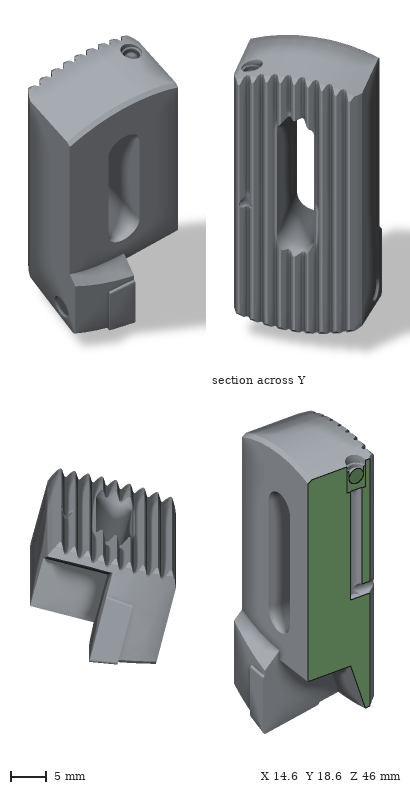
import cadquery as cq
import math


half_length = 23.0
end_radius = half_length
half_width = 9.3
depth = 11.8
shoulder_depth = 0.95
shoulder_width = 0.4
crest_bevel = 0.7
front_bevel_depth = 0.65
front_bevel_height = 0.45

past = 36.8

tooth_count = 9
tooth_pitch = 2.0
tooth_flat = 0.28
flank_angle = 30.0
tooth_rise = (tooth_pitch - 2 * tooth_flat) / 2
root_depth = tooth_rise / math.tan(math.radians(flank_angle))

nose_edge_depth = 13.15
relief_angle = 7.0
nose_depth = nose_edge_depth + half_width * math.tan(math.radians(relief_angle))
ramp_top = -10.05
bottom_angle = 10.0
bottom_slope = math.tan(math.radians(bottom_angle))
bottom_height = -20.15
nose_bevel = 0.45

insert_circle = 9.5
insert_thickness = 3.95
insert_angle = 90.0 - bottom_angle
clearance_angle = 7.0
nose_radius = 0.4
tip_depth = 14.6
insert_x = tip_depth - insert_circle / 2
nose_to_center = (insert_circle / 2 - nose_radius) / math.sin(math.radians(insert_angle / 2))
insert_z = -half_length + nose_radius + nose_to_center * math.cos(math.radians(insert_angle / 2))

screw_diameter = 3.35
screw_head_diameter = 5.5
screw_head_height = (screw_head_diameter - screw_diameter) / 2
screw_recess = 0.35
screw_end_chamfer = 0.15

slot_width = 5.35
slot_top = 16.1
slot_bottom = -6.95

channel_depth = 3.65
channel_y = 7.05
channel_diameter = 1.9
inlet_height = 0.5
channel_bottom = inlet_height - channel_diameter / 2
sleeve_diameter = 3.05
ball_diameter = 2.4
sleeve_top = 21.0
sleeve_length = 3.5
ball_height = sleeve_top - ball_diameter / 2

gullet_back = 1.85
gullet_foot = -20.25
gullet_top_back = 4.6
gullet_roof = -11.5


def holder_outline():
    """Section across Z: serrated back, plain sides, stepped and relieved front."""
    shoulder_start = half_width - shoulder_width
    points = [(root_depth + shoulder_depth, -half_width), (root_depth, -shoulder_start)]
    for index in range(tooth_count):
        middle = (index - (tooth_count - 1) / 2) * tooth_pitch
        crest = tooth_flat / 2
        root = crest + tooth_rise
        points += [
            (root_depth, middle - root),
            (0, middle - crest),
            (0, middle + crest),
            (root_depth, middle + root),
        ]
    points += [
        (root_depth, shoulder_start),
        (root_depth + shoulder_depth, half_width),
        (depth, half_width),
        (depth, 0),
        (nose_depth, 0),
        (nose_edge_depth, -half_width),
    ]
    return points


def cut_arc(body, x_span, z_span, crown, side):
    """Cut along an arc across Y whose height at Y = 0 runs through z_span over x_span.

    crown is +1 for an arc highest at Y = 0 and -1 for one lowest there;
    side is +1 to remove the material above it and -1 to remove that below it.
    """
    reach = 1.5 * half_width
    sag = end_radius - math.sqrt(end_radius**2 - reach**2)
    z_edge = z_span[0] - crown * sag
    outline = (
        cq.Workplane("YZ", origin=(x_span[0], 0, 0))
        .moveTo(-reach, z_edge)
        .threePointArc((0, z_span[0]), (reach, z_edge))
        .lineTo(reach, side * past)
        .lineTo(-reach, side * past)
        .close()
        .val()
    )
    sweep = cq.Vector(x_span[1] - x_span[0], 0, z_span[1] - z_span[0])
    return body.cut(cq.Workplane(cq.Solid.extrudeLinear(outline, [], sweep)))


def shape_ends(body):
    """Curved top, sloping curved bottom, and the bevels that follow them."""
    bevel_start = depth - front_bevel_depth
    body = cut_arc(body, (0, past), (half_length, half_length), 1, 1)
    body = cut_arc(body, (0, crest_bevel), (half_length - crest_bevel, half_length), 1, 1)
    front_drop = (half_length, half_length - front_bevel_height)
    body = cut_arc(body, (bevel_start, depth), front_drop, 1, 1)
    body = cut_arc(body, (0, past), (bottom_height, bottom_height - past * bottom_slope), -1, -1)
    return cut_arc(body, (0, crest_bevel), (bottom_height + crest_bevel, bottom_height), -1, -1)


def shape_nose(body):
    """45 degree curved ramp above the nose and a bevel along its lower front edge."""
    body = cut_arc(body, (depth, past), (ramp_top, ramp_top - (past - depth)), -1, 1)
    middle_x = (nose_depth + nose_edge_depth) / 2
    lower_edge = (middle_x, -half_width / 2, bottom_height - middle_x * bottom_slope)
    return body.edges(cq.NearestToPointSelector(lower_edge)).chamfer(nose_bevel)


def cylinder_z(diameter, z_bottom, z_top):
    """Cylinder on the axis of the coolant bore."""
    base = cq.Workplane("XY", origin=(channel_depth, channel_y, z_bottom))
    return base.circle(diameter / 2).extrude(z_top - z_bottom)


def make_slot():
    return (
        cq.Workplane("YZ", origin=(0, 0, (slot_top + slot_bottom) / 2))
        .slot2D(slot_top - slot_bottom, slot_width, 90)
        .extrude(past)
    )


def make_inlet():
    return (
        cq.Workplane("YZ", origin=(0, channel_y, inlet_height))
        .circle(channel_diameter / 2)
        .extrude(channel_depth)
    )


def make_gullet():
    """Open space in front of the cutting face, running out to +X, +Y and -Z."""
    gullet_points = [
        (gullet_back, -past),
        (gullet_back, gullet_foot),
        (gullet_top_back, gullet_roof),
        (past, gullet_roof),
        (past, -past),
    ]
    return cq.Workplane("XZ").polyline(gullet_points).close().extrude(-past)


def make_insert_blank():
    """Insert without its screw hole, tapering from the cutting face at Y = 0."""
    side = insert_circle / math.sin(math.radians(insert_angle))
    run = side * math.cos(math.radians(bottom_angle))
    rise = side * math.sin(math.radians(bottom_angle))
    tip_x = insert_x + run / 2
    tip_z = insert_z - (side + rise) / 2
    corners = [
        (tip_x, tip_z),
        (tip_x, tip_z + side),
        (tip_x - run, tip_z + side + rise),
        (tip_x - run, tip_z + rise),
    ]
    outline = cq.Workplane("XZ").polyline(corners).close()
    blank = outline.extrude(insert_thickness, taper=clearance_angle)
    return blank.edges("not #Y").fillet(nose_radius)


def make_screw():
    """Countersunk screw, head flush with the cutting face, end short of the -Y face."""
    radius = screw_diameter / 2
    head_radius = screw_head_diameter / 2
    length = half_width - screw_recess
    profile = [
        (0, 0),
        (head_radius, 0),
        (radius, -screw_head_height),
        (radius, -length + screw_end_chamfer),
        (radius - screw_end_chamfer, -length),
        (0, -length),
    ]
    screw = cq.Workplane("XY").polyline(profile).close().revolve(360, (0, 0), (0, 1))
    return screw.translate((insert_x, 0, insert_z))


def make_screw_hole():
    hole = cq.Workplane("XZ", origin=(insert_x, 0, insert_z)).circle(screw_diameter / 2)
    return hole.extrude(half_width)


def make_ball():
    return cq.Workplane("XY", origin=(channel_depth, channel_y, ball_height)).sphere(ball_diameter / 2)


def make_sleeve():
    """Cup whose round-bottomed bore holds the ball."""
    cup = cylinder_z(sleeve_diameter, sleeve_top - sleeve_length, sleeve_top)
    return cup.cut(cylinder_z(ball_diameter, ball_height, sleeve_top)).cut(make_ball())


def make_holder():
    """Serrated block with all its openings cut after its outside is shaped."""
    outline = cq.Workplane("XY", origin=(0, 0, -past)).polyline(holder_outline()).close()
    block = outline.extrude(2 * past)
    holder = shape_nose(shape_ends(block))
    for opening in (
        make_slot(),
        make_inlet(),
        cylinder_z(channel_diameter, channel_bottom, half_length),
        cylinder_z(sleeve_diameter, sleeve_top - sleeve_length, half_length),
        make_gullet(),
        make_insert_blank(),
        make_screw_hole(),
    ):
        holder = holder.cut(opening)
    return holder


holder = make_holder()
screw = make_screw()
insert = make_insert_blank().cut(screw)
sleeve = make_sleeve()
ball = make_ball()

result = cq.Compound.makeCompound(
    [holder.val(), insert.val(), screw.val(), sleeve.val(), ball.val()]
)